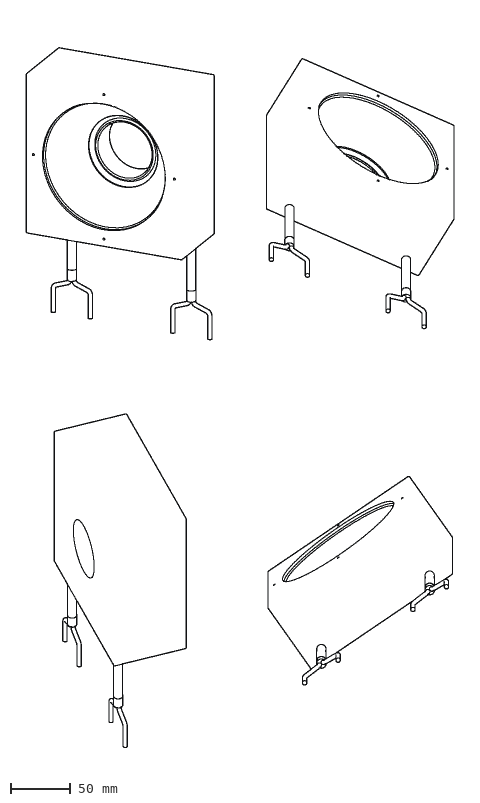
import cadquery as cq
import math

total_height = 234.5
overall_width = 147.8
housing_side = 144.0
housing_depth = 65.0
edge_radius = 1.5

mouth_radius = 113.0 / 2
mouth_depth = 2.3
rim_radius = 55.4
rim_depth = 3.8
bowl_bulge = 5.6
bowl_end_radius = 32.0
bowl_end_depth = 38.0

groove_radius = 28.2
groove_start_depth = 39.2
groove_depth = 42.5
groove_bulge = 0.7
lip_radius = 26.5
lip_depth = 40.8
bore_radius = 50.0 / 2
bore_start_depth = 41.8

pin_hole_diameter = 1.6
pin_hole_depth = 2.3
pin_hole_offset = 65.0

cable_spacing = 110.0
cable_inset = 10.0
cable_diameter = 7.7
collar_diameter = 8.0
collar_length = 10.0
cable_end_drop = 58.9

wire_diameter = 3.8
wire_root_offset = 2.0
wire_tip_offset = (overall_width - cable_spacing - wire_diameter) / 2
wire_bend_radius = 3.8
wire_slope = math.radians(20)
wire_overlap = 1.2

housing_bottom = -housing_side / 2
cable_y = housing_depth - cable_inset
cable_end_z = housing_bottom - cable_end_drop
wire_tip_z = housing_side / 2 - total_height


def bulged_point(start, end, bulge):
    """Point on the left of start-to-end, at the middle of an arc of the given rise."""
    along = (end[0] - start[0], end[1] - start[1])
    length = math.hypot(*along)
    middle_x = (start[0] + end[0]) / 2 - bulge * along[1] / length
    middle_y = (start[1] + end[1]) / 2 + bulge * along[0] / length
    return middle_x, middle_y


def make_housing():
    block = cq.Workplane("XY").box(housing_side, housing_depth, housing_side)
    return block.edges().fillet(edge_radius).translate((0, housing_depth / 2, 0))


def make_opening():
    """Revolved cavity: mouth, reflector bowl, groove, lip and through bore."""
    rim = (rim_radius, rim_depth)
    bowl_end = (bowl_end_radius, bowl_end_depth)
    groove_start = (bowl_end_radius, groove_start_depth)
    groove = (groove_radius, groove_depth)
    profile = (
        cq.Workplane("XY")
        .moveTo(0, 0)
        .lineTo(mouth_radius, 0)
        .lineTo(mouth_radius, mouth_depth)
        .lineTo(*rim)
        .threePointArc(bulged_point(bowl_end, rim, bowl_bulge), bowl_end)
        .lineTo(*groove_start)
        .threePointArc(bulged_point(groove, groove_start, groove_bulge), groove)
        .lineTo(lip_radius, lip_depth)
        .lineTo(bore_radius, bore_start_depth)
        .lineTo(bore_radius, housing_depth)
        .lineTo(0, housing_depth)
        .close()
    )
    return profile.revolve(360, (0, 0), (0, 1))


def make_pin_holes():
    """Four blind holes above, below and beside the mouth."""
    return (
        cq.Workplane("XZ")
        .polarArray(pin_hole_offset, 0, 360, 4)
        .circle(pin_hole_diameter / 2)
        .extrude(-pin_hole_depth)
    )


def make_wire(cable_x, side):
    """Wire that leaves the collar, runs outward on a slope and turns down; side is -1 or 1."""
    turn = math.pi / 2 - wire_slope

    def bend_offsets(angle):
        return wire_bend_radius * (1 - math.cos(angle)), wire_bend_radius * math.sin(angle)

    half_out, half_down = bend_offsets(turn / 2)
    full_out, full_down = bend_offsets(turn)
    run = wire_tip_offset - wire_root_offset - 2 * full_out
    fall = 2 * full_down + run * math.tan(wire_slope)

    def at(out, down):
        return cable_x + side * out, cable_end_z - down

    root_z = cable_end_z + wire_overlap
    path = (
        cq.Workplane("XZ", origin=(0, cable_y, 0))
        .moveTo(*at(wire_root_offset, -wire_overlap))
        .lineTo(*at(wire_root_offset, 0))
        .threePointArc(
            at(wire_root_offset + half_out, half_down),
            at(wire_root_offset + full_out, full_down),
        )
        .lineTo(*at(wire_tip_offset - full_out, fall - full_down))
        .threePointArc(
            at(wire_tip_offset - half_out, fall - half_down),
            at(wire_tip_offset, fall),
        )
        .lineTo(cable_x + side * wire_tip_offset, wire_tip_z)
    )
    root = cq.Workplane("XY", origin=(cable_x + side * wire_root_offset, cable_y, root_z))
    return root.circle(wire_diameter / 2).sweep(path)


def make_cable(cable_x):
    """Cable with its end collar and two wires."""
    collar_top = cable_end_z + collar_length
    cable_top = housing_bottom + edge_radius
    cable = (
        cq.Workplane("XY", origin=(cable_x, cable_y, collar_top))
        .circle(cable_diameter / 2)
        .extrude(cable_top - collar_top)
    )
    collar = (
        cq.Workplane("XY", origin=(cable_x, cable_y, cable_end_z))
        .circle(collar_diameter / 2)
        .extrude(collar_length)
    )
    return cable.union(collar).union(make_wire(cable_x, -1)).union(make_wire(cable_x, 1))


result = make_housing().cut(make_opening()).cut(make_pin_holes())
for cable_side in (-1, 1):
    result = result.union(make_cable(cable_side * cable_spacing / 2))